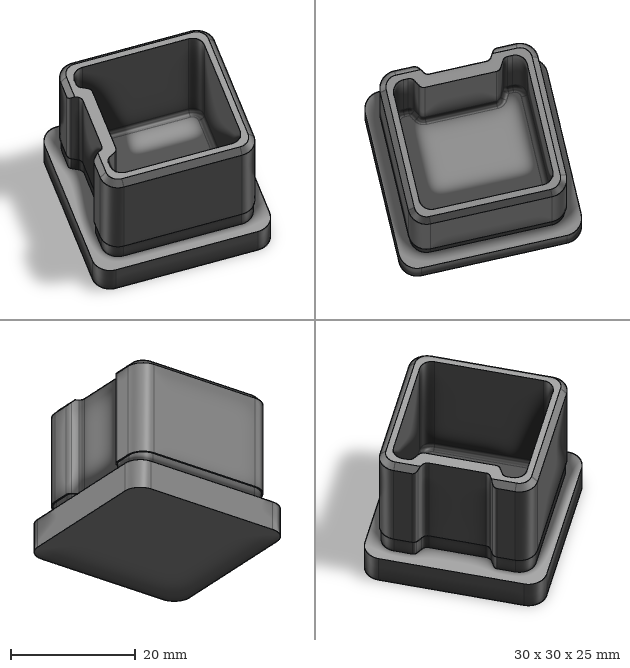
import cadquery as cq
import math

base_width = 30.0
base_height = 5.0
base_corner_radius = 3.0

total_height = 25.0
body_width = 26.0
body_corner_radius = 3.0
neck_height = 3.0
neck_inset = 0.25
top_chamfer = 1.0

recess_depth = 2.0
recess_mouth_width = 14.0
recess_edge_radius = 1.0
recess_side_angle = 60.0

wall = 2.0
cavity_corner_radius = 2.0
cavity_floor = base_height
floor_fillet = 1.0

slope = math.radians(recess_side_angle)
half_angle_tan = math.tan(slope / 2)
mouth_half = recess_mouth_width / 2 - recess_edge_radius * half_angle_tan
floor_half = mouth_half - recess_depth / math.tan(slope)


def rounded_block(width, height, radius, bottom):
    block = cq.Workplane("XY").box(width, width, height, centered=(True, True, False))
    return block.edges("|Z").fillet(radius).translate((0, 0, bottom))


def notched_prism(inset, bottom, top, corner_radius, outer_edge_radius, inner_edge_radius):
    """Plug outline with its recess, moved inward by inset, with rounded vertical edges."""
    half = body_width / 2 - inset
    shift = inset * half_angle_tan
    mouth_x = mouth_half + shift
    floor_x = floor_half + shift
    floor_y = -half + recess_depth
    prism = (
        cq.Workplane("XY")
        .workplane(offset=bottom)
        .moveTo(-half, half)
        .lineTo(-half, -half)
        .lineTo(-mouth_x, -half)
        .lineTo(-floor_x, floor_y)
        .lineTo(floor_x, floor_y)
        .lineTo(mouth_x, -half)
        .lineTo(half, -half)
        .lineTo(half, half)
        .close()
        .extrude(top - bottom)
    )
    edge_groups = [
        ([(x, y) for x in (-half, half) for y in (-half, half)], corner_radius),
        ([(-mouth_x, -half), (mouth_x, -half)], outer_edge_radius),
        ([(-floor_x, floor_y), (floor_x, floor_y)], inner_edge_radius),
    ]
    middle = (bottom + top) / 2
    for places, radius in edge_groups:
        for x, y in places:
            nearest = cq.selectors.NearestToPointSelector((x, y, middle))
            prism = prism.edges("|Z").edges(nearest).fillet(radius)
    return prism


neck_top = base_height + neck_height

base = rounded_block(base_width, base_height, base_corner_radius, 0)

neck = notched_prism(
    neck_inset,
    base_height,
    neck_top,
    body_corner_radius - neck_inset,
    recess_edge_radius - neck_inset,
    recess_edge_radius + neck_inset,
)

body = rounded_block(body_width, total_height - neck_top, body_corner_radius, neck_top)
body = body.faces(">Z").chamfer(top_chamfer)
body = body.intersect(
    notched_prism(
        0, neck_top, total_height, body_corner_radius, recess_edge_radius, recess_edge_radius
    )
)

cavity = notched_prism(
    wall, cavity_floor, total_height, cavity_corner_radius, recess_edge_radius, recess_edge_radius
)
cavity = cavity.faces("<Z").edges().fillet(floor_fillet)

result = base.union(neck).union(body).cut(cavity)